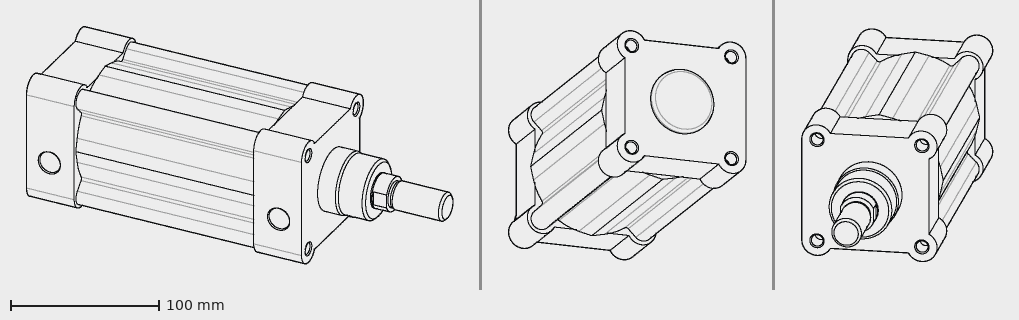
import cadquery as cq
import math


rear_boss_length = 4.0
cap_length = 36.2
barrel_length = 135.7
collar_length = 35.0
overall_length = 298.8

barrel_start = rear_boss_length + cap_length
barrel_end = barrel_start + barrel_length
front_face = barrel_end + cap_length
collar_end = front_face + collar_length
barrel_middle = (barrel_start + barrel_end) / 2

bolt_pitch = 72.0
bolt_offset = bolt_pitch / 2
corner_radius = 10.5
cap_half_width = 41.0
port_face = bolt_offset + corner_radius
bolt_hole_diameter = 8.0
bolt_hole_mouth = 10.0
bolt_hole_depth = 15.0
bolt_hole_taper = 1.0
port_diameter = 15.5
port_mouth = 16.7
port_depth = 21.0
port_taper = 1.2
port_from_end = 17.3
port_height = -12.3

boss_diameter = 44.8
boss_fillet = 2.0
collar_base_length = 15.2
collar_tip_diameter = 43.0
collar_tip_chamfer = 1.8
lip_length = 1.0
lip_diameter = 25.0
lip_end = collar_end + lip_length

tube_radius = 43.0
ridge_half_angle = math.radians(12.5)
lobe_diameter = 14.0
lobe_radius = lobe_diameter / 2
lobe_offset = 36.8
groove_fillet = 2.0

rod_diameter = 24.8
flats_width = 22.7
flats_gap = 1.0
flats_length = 10.0
flats_start = lip_end + flats_gap
flats_end = flats_start + flats_length
neck_diameter = 18.8
neck_length = 1.8
neck_taper_length = 1.8
neck_end = flats_end + neck_length
thread_diameter = 20.3
thread_start = neck_end + neck_taper_length
rod_tip_chamfer = 1.8

along_x = cq.Vector(1, 0, 0)
along_y = cq.Vector(0, 1, 0)


def cylinder(start, length, diameter):
    """Round bar on the cylinder axis, from x = start."""
    return cq.Workplane("YZ", origin=(start, 0, 0)).circle(diameter / 2).extrude(length)


def tapered_hole(mouth_centre, direction, diameter, mouth_diameter, taper, depth):
    """Cutter for a blind hole that widens to a short tapered mouth."""
    bore = cq.Solid.makeCylinder(diameter / 2, depth, mouth_centre, direction)
    mouth = cq.Solid.makeCone(mouth_diameter / 2, diameter / 2, taper, mouth_centre, direction)
    return cq.Workplane(obj=bore).union(cq.Workplane(obj=mouth))


def make_cap_block():
    """Plain end cap at the rear: round corners, flush port face, bolt holes and port."""
    side_plane = cq.Workplane("YZ", origin=(rear_boss_length, 0, 0))
    corners = [(y, z) for y in (-bolt_offset, bolt_offset) for z in (-bolt_offset, bolt_offset)]

    block = side_plane.rect(bolt_pitch, 2 * cap_half_width).extrude(cap_length)
    block = block.union(side_plane.rect(2 * cap_half_width, bolt_pitch).extrude(cap_length))
    block = block.union(side_plane.pushPoints(corners).circle(corner_radius).extrude(cap_length))

    port_pad = side_plane.center(-port_face / 2, 0).rect(port_face, bolt_pitch).extrude(cap_length)
    block = block.union(port_pad)

    for y, z in corners:
        mouth_centre = cq.Vector(rear_boss_length, y, z)
        bolt_hole = tapered_hole(
            mouth_centre, along_x, bolt_hole_diameter, bolt_hole_mouth, bolt_hole_taper, bolt_hole_depth
        )
        block = block.cut(bolt_hole)
    port_centre = cq.Vector(rear_boss_length + port_from_end, -port_face, port_height)
    port = tapered_hole(port_centre, along_y, port_diameter, port_mouth, port_taper, port_depth)
    return block.cut(port)


def make_rear_cap():
    boss = cylinder(0, barrel_start, boss_diameter).faces("<X").edges().fillet(boss_fillet)
    return make_cap_block().union(boss)


def make_front_cap():
    """Mirrored cap block with a stepped collar, bored through for the rod."""
    block = make_cap_block().mirror("YZ", (barrel_middle, 0, 0))
    step = (boss_diameter - collar_tip_diameter) / 2
    base = cylinder(front_face, collar_base_length, boss_diameter)
    base = base.faces(">X").chamfer(2 * step, step)
    tip = cylinder(front_face, collar_length, collar_tip_diameter).faces(">X").chamfer(collar_tip_chamfer)
    lip = cylinder(front_face, collar_length + lip_length, lip_diameter)
    rod_bore = cylinder(barrel_end, lip_end - barrel_end, rod_diameter)
    return block.union(base).union(tip).union(lip).cut(rod_bore)


def make_barrel():
    """Round tube body with four diagonal lobes and a low ridge along each side."""
    profile_plane = cq.Workplane("YZ", origin=(barrel_start, 0, 0))
    barrel = cylinder(barrel_start, barrel_length, 2 * tube_radius)

    bar_length = 2 * (lobe_offset * math.sqrt(2) + lobe_radius)
    for angle in (45, 135):
        bar = profile_plane.slot2D(bar_length, lobe_diameter, angle).extrude(barrel_length)
        barrel = barrel.union(bar)

    def is_groove_corner(edge):
        centre = edge.Center()
        on_tube = abs(math.hypot(centre.y, centre.z) - tube_radius) < 0.03
        off_axes = min(abs(centre.y), abs(centre.z)) > lobe_radius
        return on_tube and off_axes

    barrel = barrel.edges("|X").filter(is_groove_corner).fillet(groove_fillet)

    flat_y = tube_radius * math.sin(ridge_half_angle)
    flat_z = tube_radius * math.cos(ridge_half_angle)
    peak = tube_radius / math.cos(ridge_half_angle)
    ridge = profile_plane.polyline([(0, 0), (flat_y, flat_z), (0, peak), (-flat_y, flat_z)]).close()
    ridge = ridge.extrude(barrel_length)
    for angle in (0, 90, 180, 270):
        barrel = barrel.union(ridge.rotate((0, 0, 0), (1, 0, 0), angle))
    return barrel


def make_rod():
    """Piston rod with wrench flats, a thread undercut and a plain threaded end."""
    shank = cylinder(barrel_end, flats_end - barrel_end, rod_diameter)
    for side in (-1, 1):
        flat_cut = cq.Workplane("XY").box(flats_length, rod_diameter, rod_diameter).translate(
            ((flats_start + flats_end) / 2, side * (flats_width + rod_diameter) / 2, 0)
        )
        shank = shank.cut(flat_cut)

    end_radius = thread_diameter / 2 - rod_tip_chamfer
    threaded_end = (
        cq.Workplane("XY")
        .moveTo(flats_end, 0)
        .lineTo(flats_end, neck_diameter / 2)
        .lineTo(neck_end, neck_diameter / 2)
        .lineTo(thread_start, thread_diameter / 2)
        .lineTo(overall_length - rod_tip_chamfer, thread_diameter / 2)
        .lineTo(overall_length, end_radius)
        .lineTo(overall_length, 0)
        .close()
        .revolve(360, (0, 0, 0), (1, 0, 0))
    )
    return shank.union(threaded_end)


rear_cap = make_rear_cap()
front_cap = make_front_cap()
barrel = make_barrel()
rod = make_rod()

result = cq.Compound.makeCompound([rear_cap.val(), front_cap.val(), barrel.val(), rod.val()])